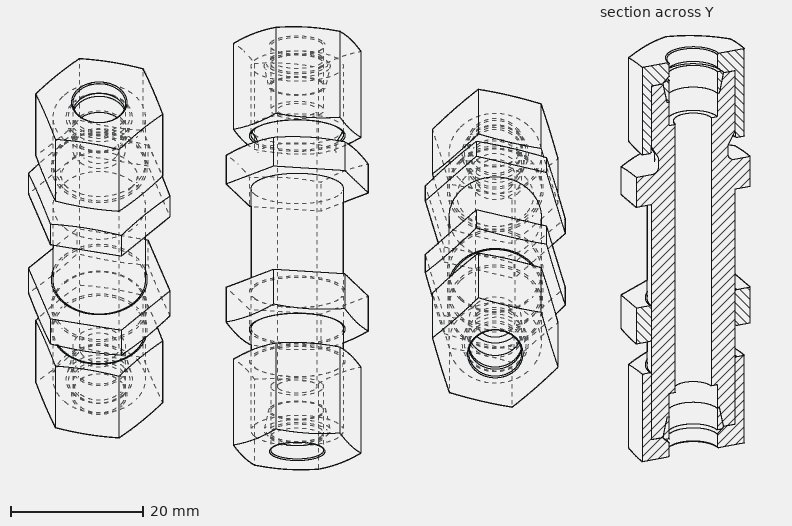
import cadquery as cq
import math


total_length = 65.0
tube_diameter = 8.0
bore_diameter = 6.0
thread_diameter = 14.0

nut_flats = 17.0
bulkhead_flats = 19.0
face_clearance = 0.1
hex_chamfer_angle = 15.0
corner_angle = 30.0

nut_length = 14.5
lip_depth = 2.35
tube_hole_chamfer = 0.2
thread_relief = 0.25
thread_relief_depth = 0.1

collar_bottom = 42.05
collar_height = 5.0
collar_top = collar_bottom + collar_height
locknut_bottom = 19.55
locknut_height = 6.0

neck_diameter = 11.7
neck_fillet = 1.0
neck_top = 49.35
thread_start_diameter = 12.0
thread_lead_angle = 30.0

ring_diameter = 10.0
ring_back_depth = 3.0
ring_nose_wall = 0.3
seat_half_angle = 12.0
tube_stop_depth = 10.4
ring_back_diameter = tube_diameter + 2 * (ring_back_depth - lip_depth)
body_end = lip_depth + (ring_diameter - tube_diameter) / 2
ring_nose_diameter = tube_diameter + 2 * ring_nose_wall
ring_taper_length = (ring_diameter - ring_nose_diameter) / 2 / math.tan(math.radians(seat_half_angle))
ring_nose_depth = body_end + ring_taper_length


def revolve_profile(sketch):
    """Close an outline drawn as (radius, height) on XZ and turn it about the Z axis."""
    return sketch.close().revolve(360, (0, 0, 0), (0, 1, 0))


def at_top(solid):
    """Turn a part made for the lower end over so that it fits the upper end."""
    return solid.rotate((0, 0, 0), (1, 0, 0), 180).translate((0, 0, total_length))


def hexagon(flats, bottom, height, chamfer_bottom, chamfer_top):
    """Hexagonal prism whose corners are turned to a cone at the chosen ends."""
    corner_radius = flats / math.sqrt(3)
    face_radius = (flats - face_clearance) / 2
    drop = (corner_radius - face_radius) * math.tan(math.radians(hex_chamfer_angle))
    top = bottom + height
    prism = (
        cq.Workplane("XY")
        .workplane(offset=bottom)
        .polygon(6, 2 * corner_radius)
        .extrude(height)
        .rotate((0, 0, 0), (0, 0, 1), corner_angle)
    )
    envelope = cq.Workplane("XZ").moveTo(0, bottom)
    if chamfer_bottom:
        envelope = envelope.lineTo(face_radius, bottom).lineTo(corner_radius, bottom + drop)
    else:
        envelope = envelope.lineTo(corner_radius, bottom)
    if chamfer_top:
        envelope = envelope.lineTo(corner_radius, top - drop).lineTo(face_radius, top)
    else:
        envelope = envelope.lineTo(corner_radius, top)
    return prism.intersect(revolve_profile(envelope.lineTo(0, top)))


def make_union_nut():
    """Lower union nut: tube hole, ring seat and thread hole inside a hexagon."""
    tube_radius = tube_diameter / 2
    thread_radius = thread_diameter / 2
    cavity = revolve_profile(
        cq.Workplane("XZ")
        .moveTo(0, 0)
        .lineTo(tube_radius + tube_hole_chamfer, 0)
        .lineTo(tube_radius, tube_hole_chamfer)
        .lineTo(tube_radius, lip_depth)
        .lineTo(ring_diameter / 2, body_end)
        .lineTo(thread_radius, body_end)
        .lineTo(thread_radius, nut_length - thread_relief_depth)
        .lineTo(thread_radius + thread_relief, nut_length)
        .lineTo(0, nut_length)
    )
    return hexagon(nut_flats, 0, nut_length, True, True).cut(cavity)


def make_sealing_ring():
    """Lower sealing ring: its back sits in the nut and its taper in the body."""
    tube_radius = tube_diameter / 2
    return revolve_profile(
        cq.Workplane("XZ")
        .moveTo(tube_radius, ring_back_depth)
        .lineTo(ring_back_diameter / 2, ring_back_depth)
        .lineTo(ring_diameter / 2, body_end)
        .lineTo(ring_nose_diameter / 2, ring_nose_depth)
        .lineTo(tube_radius, ring_nose_depth)
    )


def make_locknut():
    """Hexagonal locknut, chamfered below, with a thread hole relieved at both ends."""
    locknut_top = locknut_bottom + locknut_height
    thread_radius = thread_diameter / 2
    relief_radius = thread_radius + thread_relief
    hole = revolve_profile(
        cq.Workplane("XZ")
        .moveTo(0, locknut_bottom)
        .lineTo(relief_radius, locknut_bottom)
        .lineTo(thread_radius, locknut_bottom + thread_relief_depth)
        .lineTo(thread_radius, locknut_top - thread_relief_depth)
        .lineTo(relief_radius, locknut_top)
        .lineTo(0, locknut_top)
    )
    return hexagon(bulkhead_flats, locknut_bottom, locknut_height, True, False).cut(hole)


def make_body():
    """Threaded tube with a fixed collar, a neck above it, and a ring seat and tube socket in each end."""
    bore_radius = bore_diameter / 2
    tube_radius = tube_diameter / 2
    ring_radius = ring_diameter / 2
    nose_radius = ring_nose_diameter / 2
    thread_radius = thread_diameter / 2
    neck_radius = neck_diameter / 2
    start_radius = thread_start_diameter / 2

    sweep = math.acos(1 - (start_radius - neck_radius) / neck_fillet)
    start_height = neck_top + neck_fillet * math.sin(sweep)
    fillet_middle = (
        neck_radius + neck_fillet * (1 - math.cos(sweep / 2)),
        neck_top + neck_fillet * math.sin(sweep / 2),
    )
    lead_length = (thread_radius - start_radius) / math.tan(math.radians(thread_lead_angle))

    foot_middle = (
        neck_radius + neck_fillet * (1 - math.sqrt(0.5)),
        collar_top + neck_fillet * (1 - math.sqrt(0.5)),
    )

    turned = revolve_profile(
        cq.Workplane("XZ")
        .moveTo(bore_radius, tube_stop_depth)
        .lineTo(tube_radius, tube_stop_depth)
        .lineTo(tube_radius, ring_nose_depth)
        .lineTo(nose_radius, ring_nose_depth)
        .lineTo(ring_radius, body_end)
        .lineTo(thread_radius, body_end)
        .lineTo(thread_radius, collar_top)
        .lineTo(neck_radius + neck_fillet, collar_top)
        .threePointArc(foot_middle, (neck_radius, collar_top + neck_fillet))
        .lineTo(neck_radius, neck_top)
        .threePointArc(fillet_middle, (start_radius, start_height))
        .lineTo(thread_radius, start_height + lead_length)
        .lineTo(thread_radius, total_length - body_end)
        .lineTo(ring_radius, total_length - body_end)
        .lineTo(nose_radius, total_length - ring_nose_depth)
        .lineTo(tube_radius, total_length - ring_nose_depth)
        .lineTo(tube_radius, total_length - tube_stop_depth)
        .lineTo(bore_radius, total_length - tube_stop_depth)
    )
    collar_hole = (
        cq.Workplane("XY")
        .workplane(offset=collar_bottom)
        .circle(neck_radius)
        .extrude(collar_height)
    )
    collar = hexagon(bulkhead_flats, collar_bottom, collar_height, False, True).cut(collar_hole)
    return turned.union(collar)


body = make_body()
locknut = make_locknut()
lower_nut = make_union_nut()
lower_ring = make_sealing_ring()
union_nuts = [lower_nut, at_top(lower_nut)]
sealing_rings = [lower_ring, at_top(lower_ring)]

result = cq.Compound.makeCompound(
    [body.val(), locknut.val()]
    + [nut.val() for nut in union_nuts]
    + [ring.val() for ring in sealing_rings]
)